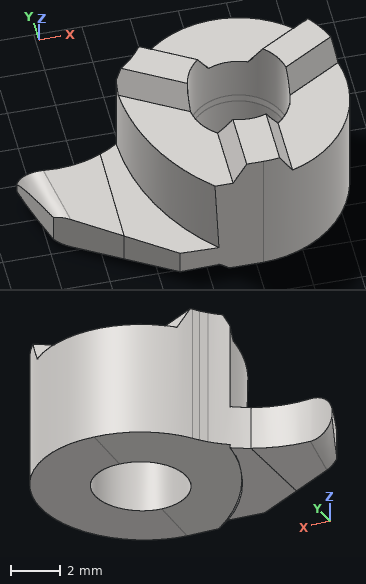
import cadquery as cq
import math

overall_length = 13.5

hub_diameter = 9.0
hub_radius = hub_diameter / 2
bore_radius = 2.04
shoulder_z = 5.01
top_z = 6.01
upper_bore_radius = 2.08
seat_top_z = 3.01
seat_bottom_z = 2.7
underside_rise = 0.1

ridge_angles = (30, 150, 270)
ridge_base_half_width = 1.25
ridge_top_half_width = 0.69

flank_angle = 142.5
flank_corner = (-3.77, 2.48)
rake_start = (-4.02, 2.2)
rake_middle = (-6.08, 1.0)
tip_point = (hub_radius - overall_length, 1.01)
tip_heel = (-8.05, -1.53)
front_corner = (-3.45, -hub_radius)

wall_rear = (-4.72, 1.55)
wall_middle = (-4.0, -1.77)
wall_front_x_top = -2.05
wall_front_x_foot = -1.8
wall_front_x_underside = -1.4
wall_foot_z = 0.3

blade_mid_z = 0.81
nose_diameter = 2.01
nose_radius = nose_diameter / 2
slope_x = 0.027
slope_y = 0.06
nose_start = (-7.98, 1.01)
nose_end = (-7.42, -1.89)
tip_split_x = -5.48

nose_overrun = 1.08
reach = 16.2


def plan_outline(bottom_z, height):
    """Prism of the whole plan shape, hub and blade together."""
    angle = math.radians(flank_angle)
    flank_start = (hub_radius * math.cos(angle), hub_radius * math.sin(angle))
    middle = math.radians((flank_angle - 90) / 2)
    return (
        cq.Workplane("XY", origin=(0, 0, bottom_z))
        .moveTo(0, -hub_radius)
        .threePointArc((hub_radius * math.cos(middle), hub_radius * math.sin(middle)), flank_start)
        .lineTo(*flank_corner)
        .lineTo(*rake_start)
        .threePointArc(rake_middle, tip_point)
        .lineTo(*tip_heel)
        .lineTo(*front_corner)
        .close()
        .extrude(height)
    )


def wall_wire(z, front_x):
    """Closed outline of the space on the hub side of the wall at height z."""
    shift = (front_x - wall_front_x_top) / 2
    rear = cq.Vector(*wall_rear, z)
    middle = cq.Vector(wall_middle[0] + shift, wall_middle[1], z)
    front = cq.Vector(front_x, -hub_radius, z)
    corners = [
        front,
        cq.Vector(front_x, -reach, z),
        cq.Vector(reach, -reach, z),
        cq.Vector(reach, reach, z),
        cq.Vector(wall_rear[0], reach, z),
        rear,
    ]
    sides = [cq.Edge.makeLine(a, b) for a, b in zip(corners, corners[1:])]
    return cq.Wire.assembleEdges([cq.Edge.makeThreePointArc(rear, middle, front), *sides])


def wall_space(lower_z, lower_x, upper_z, upper_x):
    """Hub side of the wall between two heights."""
    wires = [wall_wire(lower_z, lower_x), wall_wire(upper_z, upper_x)]
    return cq.Workplane(obj=cq.Solid.makeLoft(wires, True))


def ridge(angle):
    """Radial trapezoidal ridge, from the bore axis outwards."""
    return (
        cq.Workplane("YZ")
        .polyline([
            (-ridge_base_half_width, shoulder_z),
            (ridge_base_half_width, shoulder_z),
            (ridge_top_half_width, top_z),
            (-ridge_top_half_width, top_z),
        ])
        .close()
        .extrude(reach)
        .rotate((0, 0, 0), (0, 0, 1), angle)
    )


def make_hub():
    envelope = plan_outline(0, shoulder_z)
    full_height = plan_outline(0, top_z)
    for angle in ridge_angles:
        envelope = envelope.union(ridge(angle).intersect(full_height))
    upper = wall_space(wall_foot_z, wall_front_x_foot, top_z, wall_front_x_top)
    lower = wall_space(0, wall_front_x_underside, wall_foot_z, wall_front_x_foot)
    return envelope.intersect(upper).union(envelope.intersect(lower))


def outside_blade_faces():
    """Half spaces above and below the blade, whose tilted faces mirror each other."""
    face_plane = cq.Plane(
        origin=(*nose_start, blade_mid_z + nose_radius),
        xDir=(1, 0, -slope_x),
        normal=(slope_x, -slope_y, 1),
    )
    above = cq.Workplane(face_plane).rect(2 * reach, 2 * reach).extrude(reach)
    below = above.mirror("XY", (0, 0, blade_mid_z))
    return above.union(below)


def nose_envelope():
    """Everything behind the nose axis, plus the tapering cone that rounds the nose."""
    axis = cq.Vector(nose_end[0] - nose_start[0], nose_end[1] - nose_start[1], 0)
    direction = axis.normalized()
    taper = slope_x * direction.x - slope_y * direction.y
    start = cq.Vector(*nose_start, blade_mid_z) - direction * nose_overrun
    length = axis.Length + 2 * nose_overrun
    start_radius = nose_radius + taper * nose_overrun
    cone = cq.Solid.makeCone(start_radius, start_radius - taper * length, length, start, direction)
    end = start + direction * length
    behind = (
        cq.Workplane("XY", origin=(0, 0, -reach))
        .polyline([(start.x, start.y), (end.x, end.y), (end.x + reach, end.y - reach), (reach, reach)])
        .close()
        .extrude(2 * reach)
    )
    return behind.union(cq.Workplane(obj=cone))


def make_blade():
    """Blade outside the hub wall, thinned by its faces and rounded at the nose."""
    slab = plan_outline(blade_mid_z - shoulder_z, 2 * shoulder_z)
    hub_side = wall_space(-shoulder_z, wall_front_x_underside, shoulder_z, wall_front_x_underside)
    return slab.cut(hub_side).cut(outside_blade_faces()).intersect(nose_envelope())


def make_bore():
    """Through bore with a slim conical seat between its two diameters."""
    return (
        cq.Workplane("XZ")
        .polyline([
            (0, 0),
            (bore_radius, 0),
            (bore_radius, seat_bottom_z),
            (upper_bore_radius, seat_top_z),
            (upper_bore_radius, top_z),
            (0, top_z),
        ])
        .close()
        .revolve(360, (0, 0, 0), (0, 1, 0))
    )


def underside_relief():
    """Shallow wedge that lifts the underside towards the +X rim."""
    return (
        cq.Workplane("XZ")
        .polyline([(0, 0), (hub_radius, 0), (hub_radius, underside_rise)])
        .close()
        .extrude(hub_radius, both=True)
    )


blade = make_blade()
tip_space = cq.Workplane("XY").box(reach, 2 * reach, 2 * reach).translate((tip_split_x - reach / 2, 0, 0))

cutting_tip = blade.intersect(tip_space)
holder = make_hub().union(blade.cut(tip_space)).cut(make_bore()).cut(underside_relief())

result = cq.Compound.makeCompound([holder.val(), cutting_tip.val()])